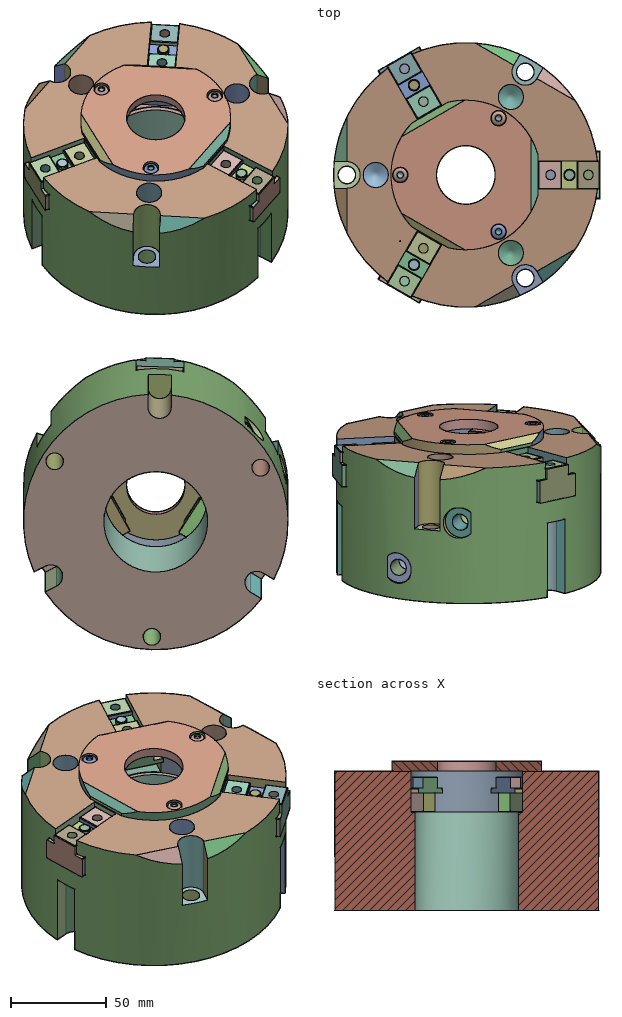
import cadquery as cq
import math

overall_length = 139.0
body_diameter = 138.0
body_radius = body_diameter / 2
body_height = 72.8
station_angles = [0, 120, 240]
mount_angles = [60, 180, 300]
drill_half_angle = math.radians(59)
side_exit = body_radius + 1.4

cavity_radius = 29.0
cavity_floor = 51.4
bore_diameter = 54.0

jaw_floor = 51.8
jaw_shoulder = 63.9
jaw_top = 69.8
jaw_neck_width = 14.7
jaw_foot_width = 25.0
jaw_outer_end = overall_length - body_radius
jaw_inner_end = 22.0
jaw_lip_bottom = 61.4
jaw_lip_root = 33.4
jaw_edge_chamfer = 0.4
channel_start = 38.1
cross_groove_start = 50.0
cross_groove_end = 58.1
cross_groove_depth = 2.6
cross_groove_centre = (cross_groove_start + cross_groove_end) / 2
boss_diameter = 6.0
boss_height = 2.0
boss_chamfer = 0.4
jaw_hole_diameter = 5.0
jaw_hole_offset = 9.9
jaw_hole_depth = 8.3

edge_chamfer = 7.0
mount_radius = body_radius - edge_chamfer
mount_pocket_width = 13.9
mount_pocket_floor = 38.8
mount_hole_diameter = 9.0
top_hole_diameter = 13.0
top_hole_radius = 47.0
top_hole_depth = 16.7
groove_width = 12.2
groove_height = 40.0

port_places = [(-17.0, 43.4), (17.0, 16.4)]
port_face_x = -65.0
port_face_diameter = 16.3
port_hole_diameter = 8.6
port_hole_depth = 13.9

cover_radius = 39.0
cover_thickness = 5.1
cover_top = body_height + cover_thickness
cover_bore = 30.5
cover_flat = 37.5
cover_chamfer = 3.5

screw_radius = 34.2
head_diameter = 7.6
head_recess_diameter = 8.0
head_height = 2.5
head_rim_height = 0.4
head_flat_diameter = 4.2
shank_diameter = 4.0
screw_length = 13.2
socket_diameter = 3.2
socket_depth = 1.1


def turned(shape, angle):
    """Turn a shape about the main axis."""
    return shape.rotate((0, 0, 0), (0, 0, 1), angle)


def cylinder(diameter, x, y, bottom, top):
    """Upright cylinder."""
    return cq.Workplane("XY", origin=(x, y, bottom)).circle(diameter / 2).extrude(top - bottom)


def block(x_start, x_end, width, bottom, top):
    """Box that is centred on y = 0."""
    return (
        cq.Workplane("XY", origin=(x_start, 0, bottom))
        .rect(x_end - x_start, width)
        .extrude(top - bottom)
        .translate(((x_end - x_start) / 2, 0, 0))
    )


def drilled_hole(diameter, depth):
    """Tool for a drilled hole: mouth at the origin, going down, with a conical bottom."""
    radius = diameter / 2
    tip_depth = depth + radius / math.tan(drill_half_angle)
    return (
        cq.Workplane("XZ")
        .polyline([(0, 0), (radius, 0), (radius, -depth), (0, -tip_depth)])
        .close()
        .revolve(360, (0, 0, 0), (0, 1, 0))
    )


def round_ended_slot(width, bottom, top):
    """Tool for a radial slot that is round at the mounting radius and open outwards."""
    round_end = cylinder(width, mount_radius, 0, bottom, top)
    return round_end.union(block(mount_radius, side_exit, width, bottom, top))


def jaw_slot():
    """Tool for the T-slot of one jaw and the open channel above it."""
    foot = block(0, side_exit, jaw_foot_width, jaw_floor, jaw_shoulder)
    neck = block(0, side_exit, jaw_neck_width, jaw_shoulder, jaw_top)
    channel = block(channel_start, side_exit, jaw_neck_width, jaw_top, body_height)
    return foot.union(neck).union(channel)


def edge_chamfer_cut():
    """Tool for a 45 degree flat that bevels the top edge of the housing."""
    inner_top = (mount_radius, body_height)
    outer_top = (body_radius, body_height)
    outer_low = (body_radius, body_height - edge_chamfer)
    return (
        cq.Workplane("XZ")
        .polyline([inner_top, outer_top, outer_low])
        .close()
        .extrude(body_radius, both=True)
    )


def port_cut(y, z):
    """Tool for a spot face and a drilled hole in the -X side."""
    face_depth = body_radius + port_face_x
    spot_face = (
        cq.Workplane("YZ", origin=(-body_radius, y, z))
        .circle(port_face_diameter / 2)
        .extrude(face_depth)
    )
    hole = drilled_hole(port_hole_diameter, port_hole_depth).rotate((0, 0, 0), (0, 1, 0), -90)
    return spot_face.union(hole.translate((port_face_x, y, z)))


def make_screw():
    """Button-head screw on the main axis, its top level with the cover."""
    head_radius = head_diameter / 2
    flat_radius = head_flat_diameter / 2
    shank_radius = shank_diameter / 2
    dome_height = head_height - head_rim_height
    bulge = math.sqrt(0.5)
    dome_middle = (
        flat_radius + (head_radius - flat_radius) * bulge,
        -dome_height * (1 - bulge),
    )
    screw = (
        cq.Workplane("XZ")
        .moveTo(0, 0)
        .lineTo(flat_radius, 0)
        .threePointArc(dome_middle, (head_radius, -dome_height))
        .lineTo(head_radius, -head_height)
        .lineTo(shank_radius, -head_height)
        .lineTo(shank_radius, -screw_length)
        .lineTo(0, -screw_length)
        .close()
        .revolve(360, (0, 0, 0), (0, 1, 0))
    )
    screw = screw.cut(drilled_hole(socket_diameter, socket_depth))
    return screw.translate((screw_radius, 0, cover_top))


def make_jaw():
    """T-shaped jaw that points along +X."""
    foot = block(jaw_inner_end, jaw_outer_end, jaw_foot_width, jaw_floor, jaw_shoulder)
    foot = foot.edges("|X").chamfer(jaw_edge_chamfer)
    neck_bottom = jaw_shoulder - jaw_edge_chamfer
    neck = block(jaw_inner_end, jaw_outer_end, jaw_neck_width, neck_bottom, jaw_top)
    groove_floor = jaw_top - cross_groove_depth
    neck = neck.cut(
        block(cross_groove_start, cross_groove_end, jaw_neck_width, groove_floor, jaw_top)
    )
    neck = neck.faces(">Z").edges().chamfer(jaw_edge_chamfer)
    jaw = foot.union(neck)

    jaw = jaw.cut(block(jaw_inner_end, jaw_lip_root, jaw_foot_width, jaw_floor, jaw_lip_bottom))

    boss = cylinder(boss_diameter, cross_groove_centre, 0, groove_floor, groove_floor + boss_height)
    jaw = jaw.union(boss.faces(">Z").chamfer(boss_chamfer))

    for offset in (-jaw_hole_offset, jaw_hole_offset):
        hole_x = cross_groove_centre + offset
        jaw = jaw.cut(cylinder(jaw_hole_diameter, hole_x, 0, jaw_top - jaw_hole_depth, jaw_top))
    return jaw


def make_cover():
    """Round cover plate with three bevelled flats."""
    cover = cylinder(2 * cover_radius, 0, 0, body_height, cover_top)
    flat_profile = [
        (cover_flat, body_height),
        (cover_flat, cover_top - cover_chamfer),
        (cover_flat - cover_chamfer, cover_top),
        (cover_radius, cover_top),
        (cover_radius, body_height),
    ]
    flat_cut = cq.Workplane("XZ").polyline(flat_profile).close().extrude(cover_radius, both=True)
    for angle in station_angles:
        cover = cover.cut(turned(flat_cut, angle))
    cover = cover.cut(cylinder(cover_bore, 0, 0, body_height, cover_top))

    recess = cylinder(head_recess_diameter, screw_radius, 0, cover_top - head_height, cover_top)
    screw_hole = recess.union(cylinder(shank_diameter, screw_radius, 0, body_height, cover_top))
    for angle in mount_angles:
        cover = cover.cut(turned(screw_hole, angle))
    return cover


def make_housing():
    """Round housing with jaw slots, mounting pockets and side ports."""
    housing = cylinder(body_diameter, 0, 0, 0, body_height)
    housing = housing.cut(cylinder(bore_diameter, 0, 0, 0, body_height))
    housing = housing.cut(cylinder(2 * cavity_radius, 0, 0, cavity_floor, body_height))

    groove = round_ended_slot(groove_width, 0, groove_height)
    for angle in station_angles:
        housing = housing.cut(turned(jaw_slot(), angle))
        housing = housing.cut(turned(groove, angle))

    pocket = round_ended_slot(mount_pocket_width, mount_pocket_floor, body_height)
    mount_hole = cylinder(mount_hole_diameter, mount_radius, 0, 0, mount_pocket_floor)
    top_hole = drilled_hole(top_hole_diameter, top_hole_depth)
    top_hole = top_hole.translate((top_hole_radius, 0, body_height))
    screw_hole = cylinder(shank_diameter, screw_radius, 0, cover_top - screw_length, body_height)
    for angle in mount_angles:
        for tool in (edge_chamfer_cut(), pocket, mount_hole, top_hole, screw_hole):
            housing = housing.cut(turned(tool, angle))

    for y, z in port_places:
        housing = housing.cut(port_cut(y, z))
    return housing


housing = make_housing()
cover = make_cover()
jaws = [turned(make_jaw(), angle) for angle in station_angles]
screws = [turned(make_screw(), angle) for angle in mount_angles]

result = cq.Compound.makeCompound(
    [
        housing.val(),
        cover.val(),
        *[jaw.val() for jaw in jaws],
        *[screw.val() for screw in screws],
    ]
)